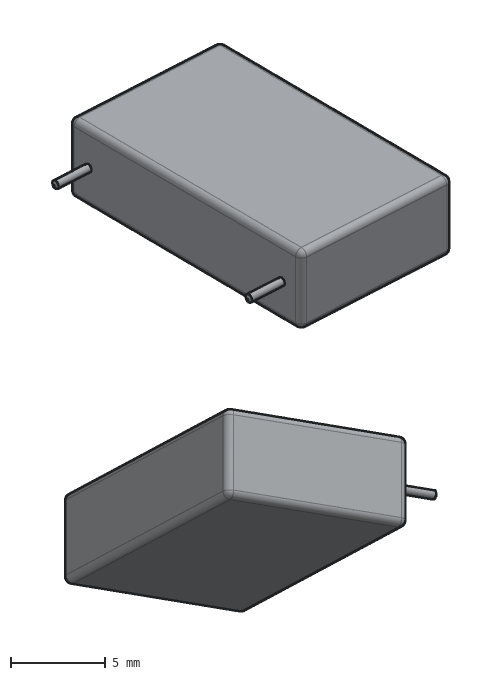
import cadquery as cq

body_width = 18.0
body_height = 5.0
overall_depth = 13.5
pin_length = 2.5
body_depth = overall_depth - pin_length
edge_radius = 0.41

pin_spacing = 15.0
pin_diameter = 0.5
pin_tip_length = 0.13
pin_tip_diameter = 0.1
pin_embed = 0.9


def make_body():
    return cq.Workplane("XY").box(body_width, body_depth, body_height).edges().fillet(edge_radius)


def make_pin(x):
    """Round pin along -Y with a tapered tip."""
    start_y = -body_depth / 2 + pin_embed
    return (
        cq.Workplane("XZ", origin=(x, start_y, 0))
        .circle(pin_diameter / 2)
        .extrude(pin_length + pin_embed)
        .faces("<Y")
        .chamfer(pin_tip_length, (pin_diameter - pin_tip_diameter) / 2)
    )


result = make_body()
for side in (-1, 1):
    result = result.union(make_pin(side * pin_spacing / 2))